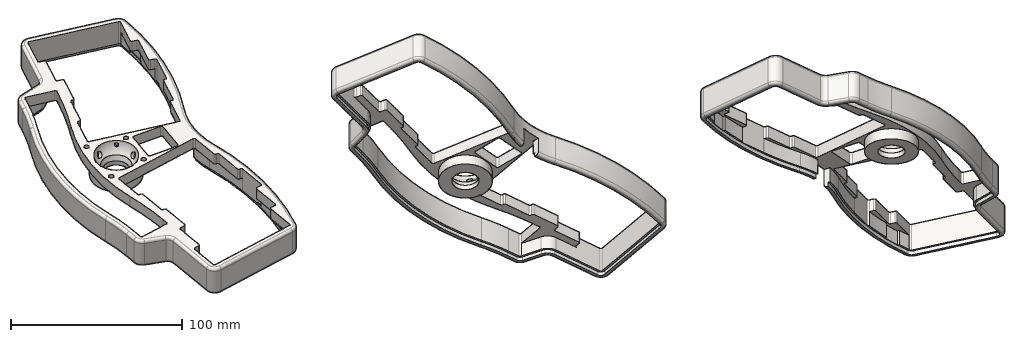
import cadquery as cq
import math

length = 234.2
width = 105.6
height = 19.7
wall = 4.2
plate = 7.7
edge_round = 1.9
corner_radius = 6.0
neck_radius = 4.2
tilt = math.radians(10)

rear_dip_y = 39.4
crown_x = 75.0
crown_radius = 164.0

sweep_angle = math.radians(19)
front_sweep_radius = 140.5
front_ease_radius = 114.8
bar_y = -29.5
bar_sweep_radius = 110.0
bar_ease_radius = 180.4

front_v = -33.5
key_columns = 5
key_rows = 3
block_length = 95.3
column_offsets = (4.7, 7.0, 9.4, 4.7, 0.0)
inner_corner_radius = 1.0

leg_top = (78.2, -22.3)
leg_angle = math.radians(15)
thumb_side_u = 63.7

window_size = 20.0
window_y = 13.4
window_corner_radius = 1.2
screw_hole_diameter = 3.0
screw_hole_depth = 5.0
rear_screw = (10.8, -0.5)
front_screw = (15.0, -24.4)

cup_y = -13.0
cup_diameter = 31.6
cup_depth = 14.5
bowl_opening_diameter = 26.2
bowl_diameter = 26.5
bowl_middle_angle = math.radians(25)
taper_end_z = 8.5
drain_diameter = 16.0
bearing_diameter = 4.0
first_bearing_turn = 90
bearing_drop = 30
pin_diameter = 2.3
first_pin_turn = 30
pin_drop = 20
bowl_hole_depth = 2.3

lip_width = 1.2
lip_height = 2.5
notch_width = 12.2
notch_front_y = 30.5
recess_start_x = 82.0
recess_length = 11.7
recess_depth = 1.5

half_length = length / 2
half_width = width / 2
key_pitch = block_length / key_columns
ceiling = height - plate

corner_center_v = front_v + corner_radius
corner_center_u = (half_length - corner_radius + corner_center_v * math.sin(tilt)) / math.cos(tilt)
side_u = corner_center_u + corner_radius
block_end_u = side_u - wall
block_start_u = block_end_u - block_length
block_front_v = front_v + wall


def from_tilted(u, v):
    """Point of the right-hand tilted frame, in part coordinates."""
    return (
        u * math.cos(tilt) - v * math.sin(tilt),
        u * math.sin(tilt) + v * math.cos(tilt),
    )


def mirrored(point):
    return (-point[0], point[1])


def on_circle(center, radius, angle):
    return (center[0] + radius * math.cos(angle), center[1] + radius * math.sin(angle))


def crossing(p, p_angle, q, q_angle):
    """Crossing of two lines, each given by a point and a direction angle."""
    dx = q[0] - p[0]
    dy = q[1] - p[1]
    reach = (dx * math.sin(q_angle) - dy * math.cos(q_angle)) / math.sin(q_angle - p_angle)
    return (p[0] + reach * math.cos(p_angle), p[1] + reach * math.sin(p_angle))


def sweep_points(bottom_y, sweep_radius, ease_radius):
    """Right half of a sweep: its join, a point on the easing arc and that arc's end."""
    down = -math.pi / 2
    sweep_center = (0, bottom_y + sweep_radius)
    join = on_circle(sweep_center, sweep_radius, down + sweep_angle)
    ease_center = on_circle(join, ease_radius, down + sweep_angle)
    ease_middle = on_circle(ease_center, ease_radius, math.pi / 2 + (sweep_angle + tilt) / 2)
    ease_end = on_circle(ease_center, ease_radius, math.pi / 2 + tilt)
    return join, ease_middle, ease_end


def add_sweep(outline, bottom_y, sweep_radius, ease_radius):
    """Draw a whole sweep from its left easing end to its right one."""
    join, middle, end = sweep_points(bottom_y, sweep_radius, ease_radius)
    return (
        outline.lineTo(*mirrored(end))
        .threePointArc(mirrored(middle), mirrored(join))
        .threePointArc((0, bottom_y), join)
        .threePointArc(middle, end)
    )


def round_uprights(body, points, radius):
    """Fillet the upright edges nearest to the given points and their mirror images."""
    edges = []
    for x, y in points + [mirrored(point) for point in points]:
        nearest = cq.selectors.NearestToPointSelector((x, y, height / 2))
        edges += body.edges("|Z").edges(nearest).vals()
    return body.newObject(edges).fillet(radius)


def frame_blank():
    """Solid block with the outer outline of the frame."""
    front_end = sweep_points(-half_width, front_sweep_radius, front_ease_radius)[2]
    front_corner = from_tilted(side_u, front_v)
    leg_direction = math.pi / 2 - leg_angle
    toe = crossing(front_end, tilt, leg_top, leg_direction)
    neck = crossing(front_corner, tilt, leg_top, leg_direction)

    crown = (crown_x, half_width)
    crown_center = (crown_x, half_width - crown_radius)
    drop = rear_dip_y - crown_center[1]
    dip_radius = (crown_x**2 + drop**2 - crown_radius**2) / (2 * (crown_radius - drop))
    dip_angle = math.atan2(rear_dip_y + dip_radius - crown_center[1], -crown_x)
    dip_end = on_circle(crown_center, crown_radius, dip_angle)

    crown_center_u = crown_x * math.cos(tilt) + crown_center[1] * math.sin(tilt)
    rear_angle = tilt + math.acos((side_u - crown_center_u) / crown_radius)
    rear_corner = on_circle(crown_center, crown_radius, rear_angle)

    outline = cq.Workplane("XY").moveTo(*mirrored(toe))
    outline = add_sweep(outline, -half_width, front_sweep_radius, front_ease_radius)
    block = (
        outline.lineTo(*toe)
        .lineTo(*neck)
        .lineTo(*front_corner)
        .lineTo(*rear_corner)
        .threePointArc(crown, dip_end)
        .threePointArc((0, rear_dip_y), mirrored(dip_end))
        .threePointArc(mirrored(crown), mirrored(rear_corner))
        .lineTo(*mirrored(front_corner))
        .lineTo(*mirrored(neck))
        .close()
        .extrude(height)
    )
    block = round_uprights(block, [toe, front_corner, rear_corner], corner_radius)
    return round_uprights(block, [neck], neck_radius)


def key_opening():
    """Right-hand opening: five staggered key columns cut through the plate."""
    corners = []
    for column, offset in enumerate(column_offsets):
        left = block_start_u + column * key_pitch
        corners += [(left, block_front_v + offset), (left + key_pitch, block_front_v + offset)]
    depth = key_rows * key_pitch
    corners += [(u, v + depth) for u, v in reversed(corners)]
    points = [from_tilted(u, v) for u, v in corners]
    opening = cq.Workplane("XY").polyline(points).close().extrude(height)
    return opening.edges("|Z").fillet(inner_corner_radius)


def thumb_opening():
    """Opening between the front wall and the bar in front of the key openings."""
    front_y = wall - half_width
    front = (front_y, front_sweep_radius - wall, front_ease_radius + wall)
    bar = (bar_y, bar_sweep_radius, bar_ease_radius)
    side = (from_tilted(thumb_side_u, 0), tilt + math.pi / 2)
    front_corner = crossing(sweep_points(*front)[2], tilt, *side)
    rear_corner = crossing(sweep_points(*bar)[2], tilt, *side)
    join, middle, end = sweep_points(*bar)
    outline = cq.Workplane("XY").moveTo(*mirrored(front_corner))
    opening = (
        add_sweep(outline, *front)
        .lineTo(*front_corner)
        .lineTo(*rear_corner)
        .lineTo(*end)
        .threePointArc(middle, join)
        .threePointArc((0, bar_y), mirrored(join))
        .threePointArc(mirrored(middle), mirrored(end))
        .lineTo(*mirrored(rear_corner))
        .close()
        .extrude(height)
    )
    return round_uprights(opening, [front_corner, rear_corner], inner_corner_radius)


def inset(inner_gap, top):
    """Space inside the outline, held back by a gap, from the underside up to a height."""
    outline = cq.Workplane("XY").add(blank.faces("<Z").wires().vals()).toPending()
    return outline.offset2D(-inner_gap).extrude(top)


def rear_recess():
    """Shallow pocket in the inner face of the rear wall, on the right-hand side."""
    block = cq.Workplane("XY", origin=(recess_start_x, 0, lip_height)).box(
        recess_length, half_width, ceiling - lip_height, centered=False
    )
    return inset(wall - recess_depth, ceiling).intersect(block)


def bowl():
    """Spherical seat for the ball, tapering below the plate into a round drain."""
    opening_radius = bowl_opening_diameter / 2
    radius = bowl_diameter / 2
    rise = math.sqrt(radius**2 - opening_radius**2)
    ceiling_radius = math.sqrt(radius**2 - (rise + plate) ** 2)
    middle = on_circle((0, height + rise), radius, -bowl_middle_angle)
    drain_radius = drain_diameter / 2
    section = (
        cq.Workplane("XZ")
        .moveTo(0, height)
        .lineTo(opening_radius, height)
        .threePointArc(middle, (ceiling_radius, ceiling))
        .lineTo(drain_radius, taper_end_z)
        .lineTo(drain_radius, 0)
        .lineTo(0, 0)
        .close()
    )
    cutter = section.revolve(360, (0, 0, 0), (0, 1, 0))
    for turn in range(0, 360, 120):
        bearing_turn = first_bearing_turn + turn
        pin_turn = first_pin_turn + turn
        cutter = cutter.union(bowl_hole(rise, bearing_turn, bearing_drop, bearing_diameter))
        cutter = cutter.union(bowl_hole(rise, pin_turn, pin_drop, pin_diameter))
    return cutter.translate((0, cup_y, 0))


def bowl_hole(rise, turn, drop, diameter):
    """Blind hole square to the bowl, turned about its axis and aimed below level."""
    flat = math.cos(math.radians(drop))
    direction = cq.Vector(
        flat * math.cos(math.radians(turn)),
        flat * math.sin(math.radians(turn)),
        -math.sin(math.radians(drop)),
    )
    center = cq.Vector(0, 0, height + rise)
    start = center + direction * (bowl_diameter / 2 - bowl_hole_depth)
    return cq.Workplane(cq.Solid.makeCylinder(diameter / 2, 2 * bowl_hole_depth, start, direction))


blank = frame_blank()
frame = blank.faces("<Z or >Z").edges().fillet(edge_round)

frame = frame.cut(inset(wall, ceiling)).cut(inset(wall - lip_width, lip_height))

cup_bottom = cq.Workplane("XY", origin=(0, cup_y, height - cup_depth))
cup = cup_bottom.circle(cup_diameter / 2).extrude(cup_depth)
frame = frame.union(cup)

for pocket in (key_opening(), rear_recess()):
    frame = frame.cut(pocket).cut(pocket.mirror("YZ"))
frame = frame.cut(thumb_opening())

cable_notch = cq.Workplane("XY").rect(notch_width, width).extrude(ceiling)
cable_notch = cable_notch.translate((0, notch_front_y + width / 2, 0))

window = (
    cq.Workplane("XY", origin=(0, window_y, 0))
    .rect(window_size, window_size)
    .extrude(height)
    .edges("|Z")
    .fillet(window_corner_radius)
)
screws = (
    cq.Workplane("XY", origin=(0, 0, height - screw_hole_depth))
    .pushPoints([rear_screw, mirrored(rear_screw), front_screw, mirrored(front_screw)])
    .circle(screw_hole_diameter / 2)
    .extrude(screw_hole_depth)
)
result = frame.cut(cable_notch).cut(window).cut(screws).cut(bowl())